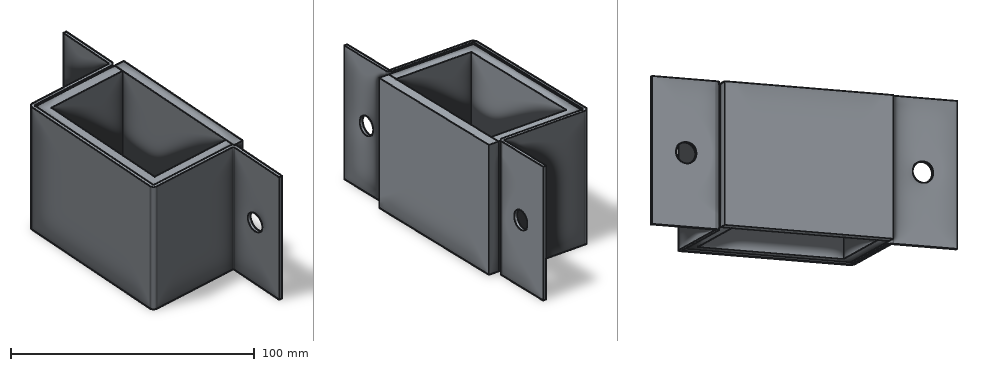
import cadquery as cq

bracket_length = 134.0
bracket_height = 62.0
sheet = 1.6
bend_inner_radius = 0.4
bend_outer_radius = bend_inner_radius + sheet

bar_thickness = 5.0
channel_length = 74.0
overall_depth = 50.4
insert_height = 60.3

hole_diameter = 9.0
hole_spacing = 104.0

bracket_depth = overall_depth - bar_thickness
pocket_half = channel_length / 2
outer_half = pocket_half + sheet
channel_depth = bracket_depth - sheet


def centred_box(length, depth, height, front_y):
    """Box centred in X and Z whose front face is at front_y."""
    return cq.Workplane("XY").box(length, depth, height, centered=(True, False, True)).translate((0, front_y, 0))


def vertical_edges(body, x, y):
    """Vertical edges at the mirrored positions (-x, y) and (x, y)."""
    reach = 0.01
    half = bracket_height
    selector = cq.selectors.BoxSelector((-x - reach, y - reach, -half), (-x + reach, y + reach, half))
    selector += cq.selectors.BoxSelector((x - reach, y - reach, -half), (x + reach, y + reach, half))
    return body.edges(selector)


def make_bracket():
    """Hat-shaped sheet with rounded bends and one hole in each flange."""
    body = centred_box(2 * outer_half, bracket_depth, bracket_height, 0)
    body = body.union(centred_box(bracket_length, sheet, bracket_height, bracket_depth - sheet))
    body = body.cut(centred_box(channel_length, bracket_depth, bracket_height, sheet))
    body = vertical_edges(body, outer_half, 0).fillet(bend_outer_radius)
    body = vertical_edges(body, pocket_half, sheet).fillet(bend_inner_radius)
    body = vertical_edges(body, pocket_half, bracket_depth).fillet(bend_outer_radius)
    body = vertical_edges(body, outer_half, bracket_depth - sheet).fillet(bend_inner_radius)
    holes = (
        cq.Workplane("XZ")
        .pushPoints([(-hole_spacing / 2, 0), (hole_spacing / 2, 0)])
        .circle(hole_diameter / 2)
        .extrude(-overall_depth)
    )
    return body.cut(holes)


def make_channel():
    """U-shaped channel that fills the bracket pocket, open towards the back."""
    body = centred_box(channel_length, channel_depth, insert_height, sheet)
    opening_length = channel_length - 2 * bar_thickness
    body = body.cut(centred_box(opening_length, channel_depth, insert_height, sheet + bar_thickness))
    return vertical_edges(body, pocket_half, sheet).fillet(bend_inner_radius)


def make_back_plate():
    """Flat plate that closes the back of the channel."""
    return centred_box(channel_length, bar_thickness, insert_height, bracket_depth)


bracket = make_bracket()
channel = make_channel()
back_plate = make_back_plate()

result = cq.Compound.makeCompound([bracket.val(), channel.val(), back_plate.val()])